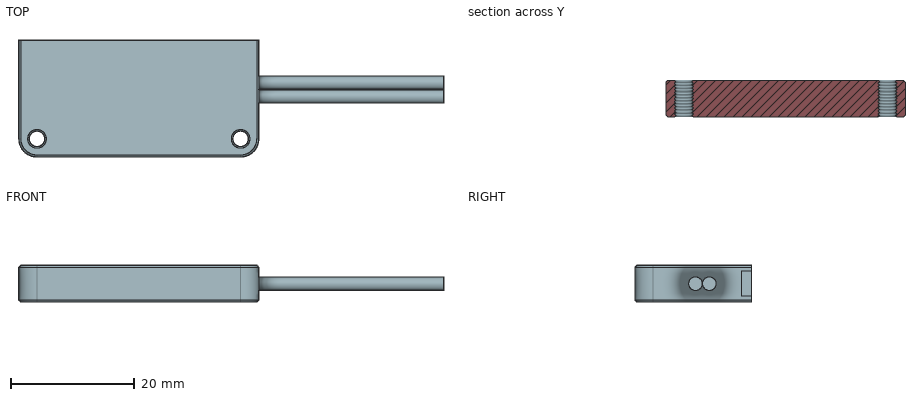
import cadquery as cq
overall_length = 69.0
housing_length = 39.0
housing_width = 19.0
housing_height = 6.0
corner_radius = 3.0

rim_bevel = 0.35

hole_minor_diameter = 2.5
thread_depth = 0.3
thread_turns = 12

wall = 1.0
strip_depth = 1.65

wire_diameter = 2.2
wire_gap = 0.035
cable_from_back = 8.0

wire_pitch = wire_diameter + wire_gap
mid_height = housing_height / 2
cable_y = housing_width - cable_from_back
wire_places = [cable_y - wire_pitch / 2, cable_y + wire_pitch / 2]
thread_pitch = housing_height / thread_turns
cavity_height = housing_height - 2 * wall
cavity_length = housing_length - 2 * wall
cavity_depth = cable_from_back + wire_pitch / 2 + wire_diameter / 2 + wall
hole_places = [
    (corner_radius, corner_radius),
    (housing_length - corner_radius, corner_radius),
]


def back_block(length, depth):
    """Block of cavity height, centred along the housing, reaching in from the +Y face."""
    start = (housing_length - length) / 2
    block = cq.Workplane("XY").box(length, depth, cavity_height, centered=False)
    return block.translate((start, housing_width - depth, wall))


def make_cable_assembly():
    """Filling with its core inside the housing, and the two wires that leave it at the +X end."""
    strip = back_block(housing_length, strip_depth)
    core = back_block(cavity_length, cavity_depth)
    core_end = housing_length - wall
    wires = (
        cq.Workplane("YZ", origin=(core_end, 0, mid_height))
        .pushPoints([(y, 0) for y in wire_places])
        .circle(wire_diameter / 2)
        .extrude(overall_length - core_end)
    )
    return strip.union(core).union(wires)


def make_threaded_holes():
    """Cutter for the through holes: the thread is a stack of V grooves, half a groove at each mouth."""
    minor_radius = hole_minor_diameter / 2
    major_radius = minor_radius + thread_depth
    profile = cq.Workplane("XZ").lineTo(major_radius, 0)
    for turn in range(thread_turns):
        profile = profile.lineTo(minor_radius, (turn + 0.5) * thread_pitch)
        profile = profile.lineTo(major_radius, (turn + 1) * thread_pitch)
    hole = profile.lineTo(0, housing_height).close().revolve(360, (0, 0, 0), (0, 1, 0)).val()
    return cq.Workplane("XY").pushPoints(hole_places).eachpoint(lambda place: hole.moved(place))


def make_housing(filling):
    """Housing with two rounded corners, bevelled rims, threaded holes and a cavity for the filling."""
    block = cq.Workplane("XY").box(housing_length, housing_width, housing_height, centered=False)
    block = block.edges("|Z and <Y").fillet(corner_radius)
    for face in (">Z", "<Z"):
        block = block.faces(face).edges("not >Y").chamfer(rim_bevel)
    return block.cut(make_threaded_holes()).cut(filling)


cable_assembly = make_cable_assembly()
housing = make_housing(cable_assembly)
result = cq.Compound.makeCompound([housing.solids().val(), cable_assembly.solids().val()])